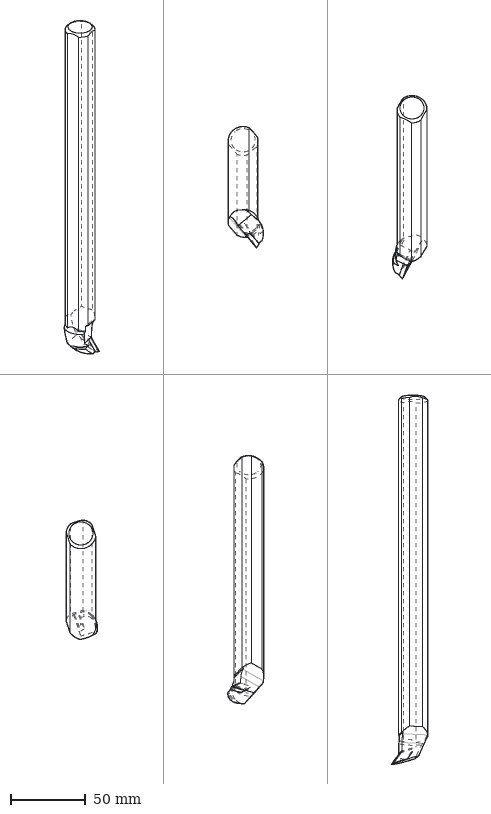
import cadquery as cq
import math

length = 251.2
shank_radius = 10.0
flat_offset = 9.0
end_chamfer = 2.0
overall_width = 24.9
reach = overall_width - shank_radius

shoulder_top = 19.3
neck_top = 15.8
neck_radius = 11.0
neck_side = 8.0
side_top = 21.0
flare_top = 6.0
flare_chamfer = 0.8
flare_radius = 12.5
flare_x = 2.5
flare_y = 0.8
heel_x = -3.8
heel_z = 6.5
head_relief = 0.5

runout_start = (2.0, 14.8)
runout_middle = (2.8, 18.0)
runout_end = (4.3, 20.4)
runout_top = 24.9

insert_side = 11.0
insert_thickness = 3.0
insert_top = 0.8
nose_angle = 35.0
edge_angle = 19.3
clearance_angle = 7.0


def prism_along_y(outline):
    """Wide prism, symmetric about y = 0, from an outline in X and Z."""
    return cq.Workplane("XZ").polyline(outline).close().extrude(2 * shank_radius, both=True)


def flare():
    """Eccentric flare that supports the overhanging tip."""
    disc = cq.Workplane("XY").center(flare_x, flare_y).circle(flare_radius).extrude(flare_top)
    return disc.faces(">Z").chamfer(flare_chamfer)


def neck():
    """Round neck with a conical shoulder that runs out inside the shank flats."""
    return (
        cq.Workplane("XZ")
        .polyline([
            (0, 0), (neck_radius, 0), (neck_radius, neck_top),
            (flat_offset, shoulder_top), (0, shoulder_top),
        ])
        .close().revolve(360, (0, 0), (0, 1))
    )


def make_blank():
    """Flatted shank, conical shoulder, neck and flare before the head is trimmed."""
    shank = cq.Workplane("XY").circle(shank_radius).extrude(length).faces(">Z").chamfer(end_chamfer)
    flats = cq.Workplane("XY").box(
        2 * shank_radius + flat_offset, 2 * flat_offset, 3 * length, centered=(False, True, True)
    ).translate((-2 * shank_radius, 0, 0))
    return shank.intersect(flats).union(neck()).union(flare())


def side_profile():
    """Keeps the sloping back, the angled bottom and the overhang under the insert."""
    lower = math.radians(edge_angle)
    upper = math.radians(edge_angle + nose_angle)
    setback = head_relief / math.sin(math.radians(nose_angle / 2))
    bisector = (lower + upper) / 2
    tip_x = reach - setback * math.cos(bisector)
    tip_z = setback * math.sin(bisector)
    overhang_z = tip_z + (tip_x - neck_side) * math.tan(upper)
    outer = 2 * shank_radius
    above = 2 * length
    back_slope = (side_top - heel_z) / (shank_radius + heel_x)
    back_z = side_top + (outer - shank_radius) * back_slope
    return prism_along_y([
        (tip_x, tip_z), (neck_side, overhang_z), (neck_side, side_top), (outer, side_top),
        (outer, above), (-outer, above), (-outer, back_z),
        (heel_x, heel_z),
    ])


def rake_cut():
    """Material removed from the +Y side of the head, with a curved run-out."""
    outer = 2 * shank_radius
    below = -2.5
    return (
        cq.Workplane("YZ").moveTo(insert_top, 0).lineTo(*runout_start)
        .threePointArc(runout_middle, runout_end).lineTo(flat_offset, runout_top)
        .lineTo(outer, runout_top).lineTo(outer, below).lineTo(insert_top, below).close()
        .extrude(outer, both=True)
    )


def make_insert():
    """Rhombic insert that tapers away from its rake face."""
    lower = math.radians(edge_angle)
    upper = math.radians(edge_angle + nose_angle)
    low = (-insert_side * math.cos(lower), insert_side * math.sin(lower))
    high = (-insert_side * math.cos(upper), insert_side * math.sin(upper))
    outline = [(0, 0), low, (low[0] + high[0], low[1] + high[1]), high]
    rake_face = cq.Workplane("XZ", origin=(reach, insert_top, 0)).polyline(outline).close()
    return rake_face.extrude(insert_thickness, taper=clearance_angle)


insert = make_insert()
holder = make_blank().intersect(side_profile()).cut(rake_cut()).cut(insert)

result = cq.Compound.makeCompound([holder.solids().val(), insert.val()])